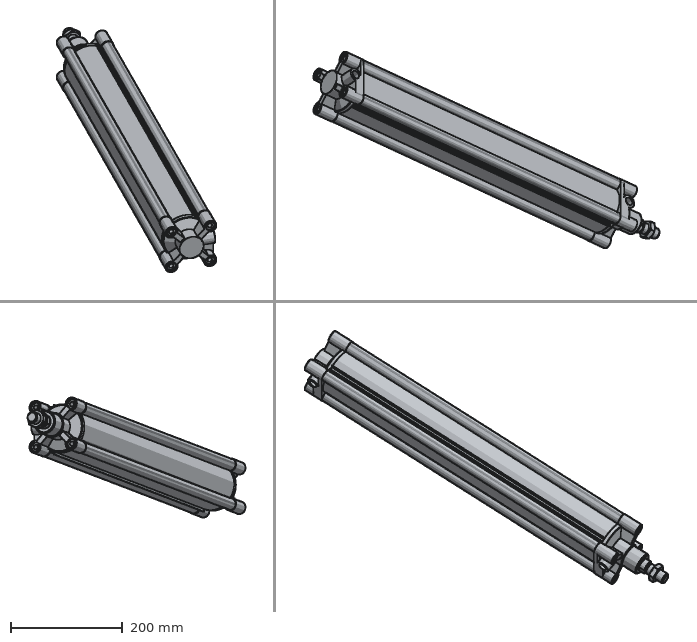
import cadquery as cq
import math


BODY_LENGTH = 678.0
CAP_LENGTH = 38.0
REAR_PILOT_LENGTH = 4.0
ROD_SHOULDER_X = -46.0
THREAD_LENGTH = 40.0

BORE_DIA = 80.0
TUBE_DIA = 87.0
CORNER_REACH = 46.1
CORNER_RADIUS = 8.1
CORNER_FLAT = 2.0
CORNER_FLANK_RADIUS = 11.0
RAIL_TOP_WIDTH = 1.0
RAIL_SLOPE = 1.5
RAILS = [(17.5, 45.2), (23.8, 41.0)]

CAP_HALF_WIDTH = 47.5
BOSS_CENTRE = 36.0
BOSS_RADIUS = CAP_HALF_WIDTH - BOSS_CENTRE
RIM_DIA = 87.0
PILOT_DIA = 45.0
RIB_WIDTH = 10.6
CONE_DEPTH = 7.7
CONE_RIM_DIA = 83.0
HUB_DEPTH = 22.7
SCREW_RECESS_DIA = 16.5
SCREW_RECESS_DEPTH = 3.0
SCREW_THREAD_DIA = 8.38
SCREW_THREAD_DEPTH = 20.0
PORT_Z = 2.0
PORT_BOSS_DIA = 24.5
PORT_DIA = 14.95
PORT_DEPTH = 12.0

FRONT_PILOT_LENGTH = 5.0
FRONT_PILOT_CHAMFER = 1.5
COLLAR_DIA = 41.0
COLLAR_FRONT_X = -35.0
COLLAR_CHAMFER = 2.0

ROD_DIA = 25.0
ROD_FLAT_WIDTH = 22.0
ROD_FLAT_LENGTH = 9.0
THREAD_DIA = 20.0
UNDERCUT_DIA = 18.38
UNDERCUT_LENGTH = 3.3
THREAD_CHAMFER_LENGTH = 2.5
THREAD_TIP_DIA = 16.5
NUT_ACROSS_FLATS = 30.0
NUT_THICKNESS = 10.0
NUT_FRONT_X = -69.5
NUT_CHAMFER_ANGLE = 30.0

CORNER_SIGNS = [(1, 1), (-1, 1), (-1, -1), (1, -1)]


def rod_along_x(diameter, x_start, x_end, y=0.0, z=0.0):
    """Cylinder parallel to X between two X positions."""
    plane = cq.Workplane("YZ", origin=(x_start, y, z))
    return plane.circle(diameter / 2).extrude(x_end - x_start)


def box(x_range, y_range, z_range):
    """Box between pairs of X, Y and Z limits."""
    size = [high - low for low, high in (x_range, y_range, z_range)]
    corner = (x_range[0], y_range[0], z_range[0])
    return cq.Workplane("XY", origin=corner).box(*size, centered=False)


def barrel_corner(x_start, length):
    """Corner bar at +Y +Z: an outer quarter arc, two narrow flats and two flank arcs back to the tube."""
    outer_centre = CORNER_REACH - CORNER_RADIUS
    outer_mid = outer_centre + CORNER_RADIUS * math.sqrt(0.5)
    flank_high = outer_centre - CORNER_FLAT
    flank_low = CORNER_REACH - CORNER_FLANK_RADIUS
    flank_foot = flank_high - CORNER_FLANK_RADIUS
    mid_high = flank_high - CORNER_FLANK_RADIUS * math.sqrt(0.5)
    mid_low = flank_low + CORNER_FLANK_RADIUS * math.sqrt(0.5)
    return (
        cq.Workplane("YZ", origin=(x_start, 0, 0))
        .moveTo(flank_foot, flank_low)
        .threePointArc((mid_high, mid_low), (flank_high, CORNER_REACH))
        .lineTo(outer_centre, CORNER_REACH)
        .threePointArc((outer_mid, outer_mid), (CORNER_REACH, outer_centre))
        .lineTo(CORNER_REACH, flank_high)
        .threePointArc((mid_low, mid_high), (flank_low, flank_foot))
        .close()
        .extrude(length)
    )


def sensor_rail(x_start, length, rail_y, height):
    """Thin rail on the top of the tube, with an inclined flank toward -Y."""
    foot_z = BORE_DIA / 2 * math.cos(math.asin(2 * rail_y / TUBE_DIA))
    crest_y = rail_y - RAIL_TOP_WIDTH
    return (
        cq.Workplane("YZ", origin=(x_start, 0, 0))
        .moveTo(rail_y, foot_z)
        .lineTo(rail_y, height)
        .lineTo(crest_y, height)
        .lineTo(crest_y - RAIL_SLOPE, foot_z)
        .close()
        .extrude(length)
    )


def make_barrel():
    start = CAP_LENGTH
    end = BODY_LENGTH - CAP_LENGTH
    barrel = rod_along_x(TUBE_DIA, start, end)
    corner = barrel_corner(start, end - start)
    for quarter in range(4):
        barrel = barrel.union(corner.rotate((0, 0, 0), (1, 0, 0), 90 * quarter))
    for rail_y, height in RAILS:
        rail = sensor_rail(start, end - start, rail_y, height)
        barrel = barrel.union(rail).union(rail.mirror("XY"))
    return barrel.cut(rod_along_x(BORE_DIA, start, end))


PORT_X = CAP_LENGTH / 2
CONE_END_X = HUB_DEPTH + CONE_DEPTH


def cap_core(pilot_length):
    """Turned core of a cap: pilot and hub, shallow cone and the rim that closes the barrel."""
    return (
        cq.Workplane("XY")
        .moveTo(-pilot_length, 0)
        .lineTo(-pilot_length, PILOT_DIA / 2)
        .lineTo(HUB_DEPTH, PILOT_DIA / 2)
        .lineTo(CONE_END_X, CONE_RIM_DIA / 2)
        .lineTo(CONE_END_X, RIM_DIA / 2)
        .lineTo(CAP_LENGTH, RIM_DIA / 2)
        .lineTo(CAP_LENGTH, 0)
        .close()
        .revolve(360, (0, 0, 0), (1, 0, 0))
    )


def port_cylinder(diameter, y_start, y_end):
    """Cylinder on the axis of the air port, parallel to Y."""
    plane = cq.Workplane("XZ", origin=(PORT_X, y_start, PORT_Z))
    return plane.circle(diameter / 2).extrude(y_start - y_end)


def port_side():
    """Flat +Y side of a cap: square rim, filling below the port and the port boss."""
    square_rim = box((CONE_END_X, CAP_LENGTH), (0, CAP_HALF_WIDTH), (-BOSS_CENTRE, BOSS_CENTRE))
    filling = (
        cq.Workplane("YZ", origin=(PORT_X, 0, 0))
        .moveTo(0, 0)
        .lineTo(CAP_HALF_WIDTH, 0)
        .lineTo(CAP_HALF_WIDTH, -BOSS_CENTRE)
        .lineTo(BOSS_CENTRE, -BOSS_CENTRE)
        .close()
        .extrude(CAP_LENGTH - PORT_X)
    )
    return square_rim.union(filling).union(port_cylinder(PORT_BOSS_DIA, 0, CAP_HALF_WIDTH))


def screw_arm(angle):
    """Rib from the axis out to one corner, with the round screw boss at its end."""
    reach = BOSS_CENTRE * math.sqrt(2)
    rib = box((0, CAP_LENGTH), (0, reach), (-RIB_WIDTH / 2, RIB_WIDTH / 2))
    arm = rib.union(rod_along_x(2 * BOSS_RADIUS, 0, CAP_LENGTH, reach))
    return arm.rotate((0, 0, 0), (1, 0, 0), angle)


def make_cap(pilot_length):
    """Cap with its outer face at X = 0, its pilot toward -X and the barrel side at X = CAP_LENGTH."""
    cap = cap_core(pilot_length).union(port_side())
    for quarter in range(4):
        cap = cap.union(screw_arm(45 + 90 * quarter))
    for y_sign, z_sign in CORNER_SIGNS:
        y = y_sign * BOSS_CENTRE
        z = z_sign * BOSS_CENTRE
        cap = cap.cut(rod_along_x(SCREW_RECESS_DIA, 0, SCREW_RECESS_DEPTH, y, z))
        cap = cap.cut(rod_along_x(SCREW_THREAD_DIA, 0, SCREW_THREAD_DEPTH, y, z))
    return cap.cut(port_cylinder(PORT_DIA, CAP_HALF_WIDTH - PORT_DEPTH, CAP_HALF_WIDTH))


def make_front_cap():
    cap = make_cap(FRONT_PILOT_LENGTH).faces("<X").chamfer(FRONT_PILOT_CHAMFER)
    collar = rod_along_x(COLLAR_DIA, COLLAR_FRONT_X, 0).faces("<X").chamfer(COLLAR_CHAMFER)
    cap = cap.union(collar)
    return cap.cut(rod_along_x(ROD_DIA, COLLAR_FRONT_X, CAP_LENGTH))


def make_rear_cap():
    return make_cap(REAR_PILOT_LENGTH).mirror("YZ").translate((BODY_LENGTH, 0, 0))


def make_piston_rod():
    tip_x = ROD_SHOULDER_X - THREAD_LENGTH
    undercut_x = ROD_SHOULDER_X - UNDERCUT_LENGTH
    rod = rod_along_x(ROD_DIA, ROD_SHOULDER_X, CAP_LENGTH)
    flat_x = (ROD_SHOULDER_X, ROD_SHOULDER_X + ROD_FLAT_LENGTH)
    for side in (-1, 1):
        y_limits = sorted((side * ROD_FLAT_WIDTH / 2, side * ROD_DIA))
        rod = rod.cut(box(flat_x, y_limits, (-ROD_DIA, ROD_DIA)))
    thread = rod_along_x(THREAD_DIA, tip_x, undercut_x)
    thread = thread.faces("<X").chamfer(THREAD_CHAMFER_LENGTH, (THREAD_DIA - THREAD_TIP_DIA) / 2)
    undercut = rod_along_x(UNDERCUT_DIA, undercut_x, ROD_SHOULDER_X)
    return rod.union(thread).union(undercut)


def make_nut():
    corner_dia = NUT_ACROSS_FLATS / math.cos(math.pi / 6)
    hexagon = (
        cq.Workplane("YZ", origin=(NUT_FRONT_X, 0, 0))
        .transformed(rotate=(0, 0, 90))
        .polygon(6, corner_dia)
        .extrude(NUT_THICKNESS)
    )
    chamfer_width = (corner_dia - NUT_ACROSS_FLATS) / 2
    chamfer_length = chamfer_width * math.tan(math.radians(NUT_CHAMFER_ANGLE))
    blank = rod_along_x(corner_dia, NUT_FRONT_X, NUT_FRONT_X + NUT_THICKNESS)
    blank = blank.faces("<X or >X").chamfer(chamfer_length, chamfer_width)
    bore = rod_along_x(THREAD_DIA, NUT_FRONT_X, NUT_FRONT_X + NUT_THICKNESS)
    return hexagon.intersect(blank).cut(bore)


barrel = make_barrel()
front_cap = make_front_cap()
rear_cap = make_rear_cap()
piston_rod = make_piston_rod()
nut = make_nut()

result = cq.Compound.makeCompound(
    [barrel.val(), front_cap.val(), rear_cap.val(), piston_rod.val(), nut.val()]
)